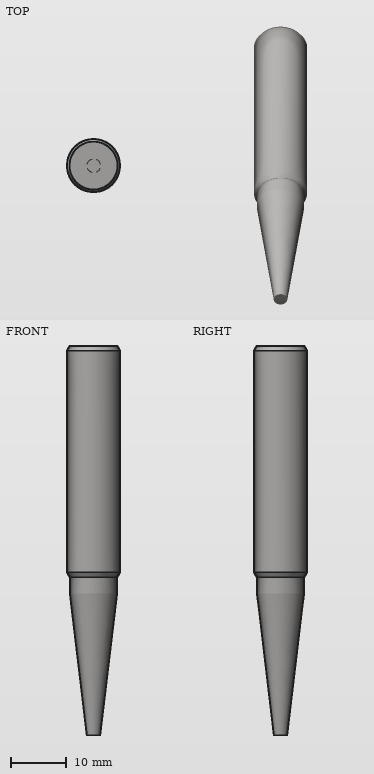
import cadquery as cq

total_length = 69.8
shank_diameter = 9.55

collar_diameter = 8.5
tip_end_diameter = 2.45
taper_length = 25.4
collar_length = 2.9
tip_length = taper_length + collar_length

bevel_width = 0.5
bevel_height = 0.85
shank_length = total_length - tip_length


def make_shank():
    """Round bar above the tip, bevelled at both ends."""
    bar = cq.Workplane("XY").workplane(offset=tip_length).circle(shank_diameter / 2).extrude(shank_length)
    return bar.faces("<Z or >Z").chamfer(bevel_height, bevel_width)


def make_tip():
    """Turned tip: flat end, taper and straight collar."""
    collar_radius = collar_diameter / 2
    half_profile = (
        cq.Workplane("XZ")
        .lineTo(tip_end_diameter / 2, 0)
        .lineTo(collar_radius, taper_length)
        .lineTo(collar_radius, tip_length)
        .lineTo(0, tip_length)
        .close()
    )
    return half_profile.revolve(360, (0, 0, 0), (0, 1, 0))


shank = make_shank()
tip = make_tip()

result = cq.Compound.makeCompound([shank.val(), tip.val()])